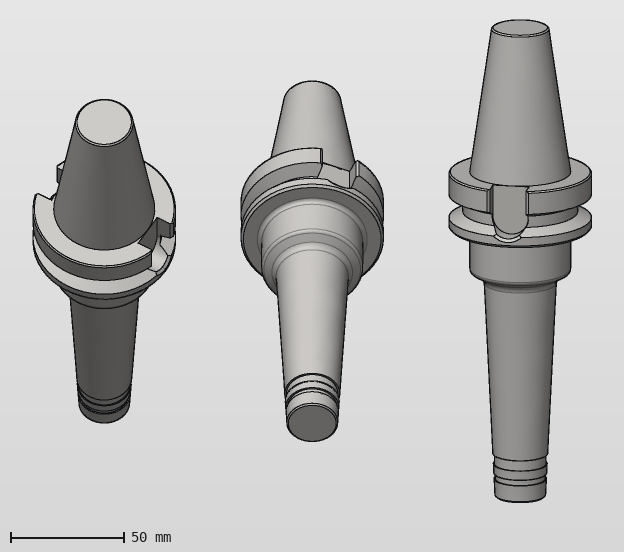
import cadquery as cq
import math

total_height = 215.5
flange_top_z = 149.0
groove_upper_rim_z = 138.7
groove_upper_floor_z = 136.1
groove_lower_floor_z = 131.0
groove_lower_rim_z = 128.2
flange_bottom_z = 123.2
shoulder_corner_z = 103.5

body_radius = 44.5 / 2
taper_slope = 7 / 24 / 2
taper_tip_radius = body_radius - (total_height - flange_top_z) * taper_slope
taper_tip_chamfer = 0.6

flange_radius = 63.0 / 2
groove_floor_radius = 25.5
flange_top_chamfer = 0.6
flange_bottom_chamfer = 1.0
neck_fillet = 2.0

slot_width = 16.2
slot_floor_x = 22.5
slot_arc_center_z = 135.0
slot_rim_chamfer = 1.3

shoulder_slope_angle = 30.0
shoulder_round = 2.0
shank_fillet = 3.7
shank_top_radius = 32.0 / 2
shank_tip_radius = 11.2
shank_tip_chamfer = 0.6
shoulder_drop = (body_radius - shank_top_radius) * math.tan(math.radians(shoulder_slope_angle))
shank_top_z = shoulder_corner_z - shoulder_drop

ring_grooves = [
    (14.9, 19.5, 11.5),
    (8.0, 10.5, 11.0),
]


def revolve_outline(points):
    """Revolve (radius, height) points about the Z axis."""
    outline = cq.Workplane("XZ").polyline(points).close()
    return outline.revolve(360, (0, 0, 0), (0, 1, 0))


def near_height(workplane, height):
    """Select the circular edges lying at one height."""
    reach = 2 * flange_radius
    margin = 0.1
    box = cq.selectors.BoxSelector(
        (-reach, -reach, height - margin), (reach, reach, height + margin)
    )
    return workplane.edges(box)


def make_core():
    """Upper taper, straight body and slim shank, without the flange."""
    core = revolve_outline([
        (0, 0),
        (shank_tip_radius, 0),
        (shank_top_radius, shank_top_z),
        (body_radius, shoulder_corner_z),
        (body_radius, flange_top_z),
        (taper_tip_radius, total_height),
        (0, total_height),
    ])
    core = near_height(core, shoulder_corner_z).fillet(shoulder_round)
    core = near_height(core, shank_top_z).fillet(shank_fillet)
    core = near_height(core, total_height).chamfer(taper_tip_chamfer)
    return near_height(core, 0).chamfer(shank_tip_chamfer)


def make_slot_cutter(side):
    """Round-bottomed drive slot, open upwards and outwards."""
    half_width = slot_width / 2
    cut_top_z = flange_top_z + 2.2
    cut_depth = flange_radius
    return (
        cq.Workplane("YZ", origin=(side * slot_floor_x, 0, 0))
        .moveTo(-half_width, cut_top_z)
        .lineTo(-half_width, slot_arc_center_z)
        .threePointArc((0, slot_arc_center_z - half_width), (half_width, slot_arc_center_z))
        .lineTo(half_width, cut_top_z)
        .close()
        .extrude(side * cut_depth)
    )


def make_flange():
    """Slotted flange disc with chamfered slot rims and a V-sided gripper groove."""
    flange_height = flange_top_z - flange_bottom_z
    flange = (
        cq.Workplane("XY", origin=(0, 0, flange_bottom_z))
        .circle(flange_radius)
        .extrude(flange_height)
    )
    for side in (-1, 1):
        flange = flange.cut(make_slot_cutter(side))

    rim_start_x = flange_radius - 2.2
    rim_half_width = slot_width / 2 + 0.2
    rim_low_z = flange_bottom_z + 0.2
    rim_high_z = flange_top_z - 0.2
    for side in (-1, 1):
        rim_box = cq.selectors.BoxSelector(
            (side * rim_start_x, -rim_half_width, rim_low_z),
            (side * (flange_radius + 2.2), rim_half_width, rim_high_z),
        )
        flange = flange.edges(rim_box).chamfer(slot_rim_chamfer)

    envelope = revolve_outline([
        (0, flange_bottom_z),
        (flange_radius - flange_bottom_chamfer, flange_bottom_z),
        (flange_radius, flange_bottom_z + flange_bottom_chamfer),
        (flange_radius, groove_lower_rim_z),
        (groove_floor_radius, groove_lower_floor_z),
        (groove_floor_radius, groove_upper_floor_z),
        (flange_radius, groove_upper_rim_z),
        (flange_radius, flange_top_z - flange_top_chamfer),
        (flange_radius - flange_top_chamfer, flange_top_z),
        (0, flange_top_z),
    ])
    return flange.intersect(envelope)


def make_neck_fillet():
    """Concave ring blending the straight body into the flange underside."""
    arc_middle = neck_fillet * (1 - math.sqrt(0.5))
    return (
        cq.Workplane("XZ")
        .moveTo(0, flange_bottom_z)
        .lineTo(body_radius + neck_fillet, flange_bottom_z)
        .threePointArc(
            (body_radius + arc_middle, flange_bottom_z - arc_middle),
            (body_radius, flange_bottom_z - neck_fillet),
        )
        .lineTo(0, flange_bottom_z - neck_fillet)
        .close()
        .revolve(360, (0, 0, 0), (0, 1, 0))
    )


def make_ring_cutter(bottom_z, top_z, floor_radius):
    return (
        cq.Workplane("XY", origin=(0, 0, bottom_z))
        .circle(body_radius)
        .circle(floor_radius)
        .extrude(top_z - bottom_z)
    )


result = make_core().union(make_flange()).union(make_neck_fillet())
for bottom_z, top_z, floor_radius in ring_grooves:
    result = result.cut(make_ring_cutter(bottom_z, top_z, floor_radius))